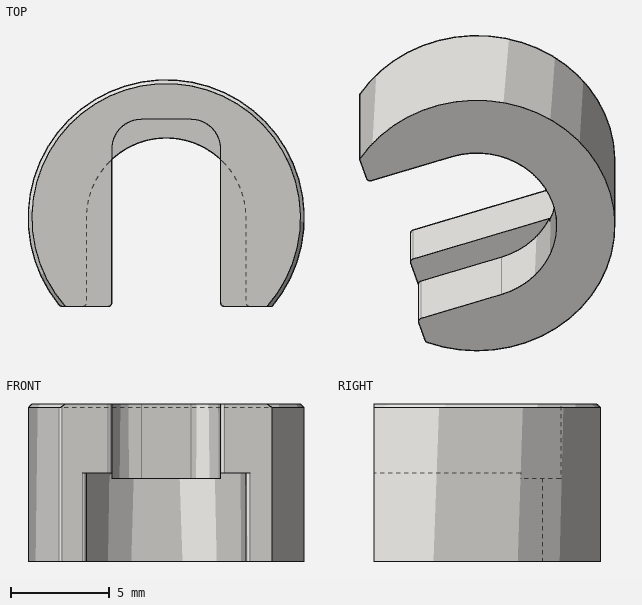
import cadquery as cq

body_radius = 7.0
body_height = 8.0
flat_y = -4.5
rim_chamfer = 0.2

slot_width = 5.5
slot_end_y = 5.0
slot_corner_radius = 1.5
slot_floor_z = 4.2

channel_radius = 4.05
channel_height = 4.5

mouth_fillet = 0.2


def make_body():
    """Cylinder with a chamfered top rim, cut off straight at the flat."""
    cylinder = cq.Workplane("XY").circle(body_radius).extrude(body_height)
    cylinder = cylinder.faces(">Z").chamfer(rim_chamfer)
    kept_side = cq.Workplane("XY").box(
        2 * body_radius, body_radius - flat_y, body_height, centered=(True, False, False)
    )
    return cylinder.intersect(kept_side.translate((0, flat_y, 0)))


def make_slot():
    """Slot with two rounded corners at its closed end."""
    slot = cq.Workplane("XY").box(
        slot_width, slot_end_y + body_radius, body_height - slot_floor_z, centered=(True, False, False)
    )
    slot = slot.translate((0, -body_radius, slot_floor_z))
    return slot.edges("|Z and >Y").fillet(slot_corner_radius)


def make_channel():
    """Channel whose closed end is a half circle about the body axis."""
    return (
        cq.Workplane("XY")
        .moveTo(-channel_radius, -body_radius)
        .lineTo(-channel_radius, 0)
        .threePointArc((0, channel_radius), (channel_radius, 0))
        .lineTo(channel_radius, -body_radius)
        .close()
        .extrude(channel_height)
    )


result = make_body().cut(make_slot()).cut(make_channel())

rounded_edges = result.faces("<Y").edges("|Z").edges("not >X")
result = rounded_edges.fillet(mouth_fillet)